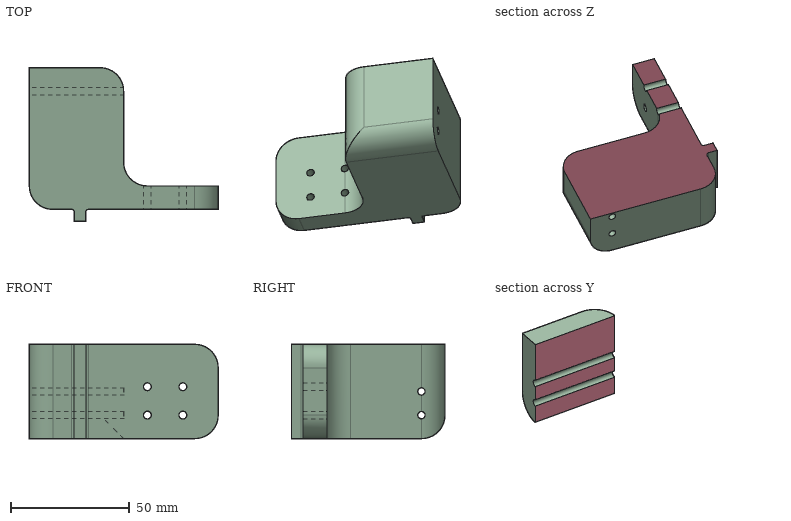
import cadquery as cq

height = 40.0
block_width = 40.0
block_depth = 60.0
arm_reach = 80.0
arm_thickness = 10.0
corner_radius = 10.0

rib_left = 19.0
rib_width = 5.0
rib_projection = 5.0
rib_root_radius = 1.0

arm_hole_diameter = 3.2
arm_hole_first_x = 50.0
arm_hole_first_z = 10.0
arm_hole_pitch_x = 15.0
arm_hole_pitch_z = 12.0
arm_hole_columns = 2
arm_hole_rows = 2
block_hole_diameter = 3.0
block_hole_edge_distance = 10.0
block_hole_heights = (10.0, 20.0)


def make_bracket():
    """L-shaped body with a thick block, a thin arm and rounded corners."""
    body = (
        cq.Workplane("XY")
        .moveTo(0, 0)
        .lineTo(arm_reach, 0)
        .lineTo(arm_reach, arm_thickness)
        .lineTo(block_width, arm_thickness)
        .lineTo(block_width, block_depth)
        .lineTo(0, block_depth)
        .close()
        .extrude(height)
    )
    for x, y in ((0, 0), (block_width, arm_thickness), (block_width, block_depth)):
        corner = cq.selectors.NearestToPointSelector((x, y, height / 2))
        body = body.edges(corner).fillet(corner_radius)
    return body.faces(">X").edges("|Y").fillet(corner_radius)


def round_lower_back_edge(body):
    """Round the bottom edge of the block's back face, right across the block."""
    cutter = (
        cq.Workplane("YZ")
        .moveTo(block_depth - corner_radius, 0)
        .radiusArc((block_depth, corner_radius), -corner_radius)
        .lineTo(block_depth, 0)
        .close()
        .extrude(block_width)
    )
    return body.cut(cutter)


def make_rib():
    """Full-height rib whose root flares into the front face with concave fillets."""
    rib_right = rib_left + rib_width
    return (
        cq.Workplane("XY")
        .moveTo(rib_left - rib_root_radius, 0)
        .radiusArc((rib_left, -rib_root_radius), rib_root_radius)
        .lineTo(rib_left, -rib_projection)
        .lineTo(rib_right, -rib_projection)
        .lineTo(rib_right, -rib_root_radius)
        .radiusArc((rib_right + rib_root_radius, 0), rib_root_radius)
        .close()
        .extrude(height)
    )


def make_arm_holes():
    """Two-by-two pattern of holes through the arm and the edge of its inner corner fillet."""
    centres = [
        (arm_hole_first_x + column * arm_hole_pitch_x, arm_hole_first_z + row * arm_hole_pitch_z)
        for column in range(arm_hole_columns)
        for row in range(arm_hole_rows)
    ]
    cut_length = arm_thickness + corner_radius
    return cq.Workplane("XZ").pushPoints(centres).circle(arm_hole_diameter / 2).extrude(-cut_length)


def make_block_holes():
    """Pair of holes running through the full width of the block."""
    hole_y = block_depth - block_hole_edge_distance
    centres = [(hole_y, z) for z in block_hole_heights]
    return cq.Workplane("YZ").pushPoints(centres).circle(block_hole_diameter / 2).extrude(block_width)


bracket = round_lower_back_edge(make_bracket())
result = bracket.union(make_rib()).cut(make_arm_holes()).cut(make_block_holes())